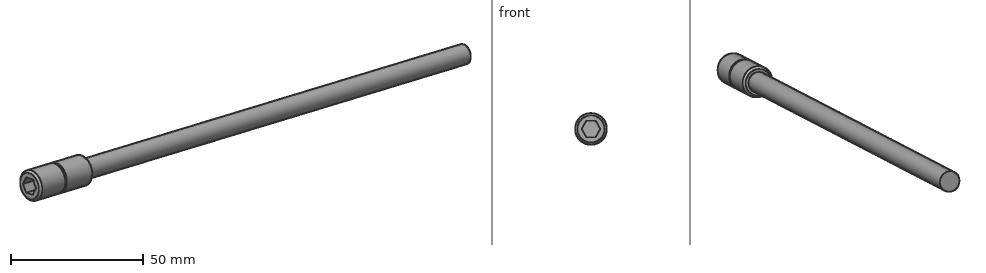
import cadquery as cq
import math

total_length = 228.0
head_diameter = 12.0
rod_diameter = 8.0
edge_chamfer = 1.0

socket_length = 13.0
collar_length = 15.0

hex_across_flats = 6.2

socket_front_y = -total_length / 2
collar_front_y = socket_front_y + socket_length
rod_start_y = collar_front_y + collar_length
rod_length = total_length - socket_length - collar_length


def plane_facing_rear(y):
    """Work plane across the axis at y, with its normal along +Y."""
    return cq.Plane(origin=(0, y, 0), xDir=(1, 0, 0), normal=(0, 1, 0))


def cylinder_along_y(diameter, start_y, length):
    """Solid cylinder running from start_y toward +Y."""
    return cq.Workplane(plane_facing_rear(start_y)).circle(diameter / 2).extrude(length)


def make_socket():
    """Ring with a chamfered front rim and a hexagonal hole, flats at top and bottom."""
    across_corners = hex_across_flats / math.cos(math.pi / 6)
    hex_hole = (
        cq.Workplane(plane_facing_rear(socket_front_y))
        .polygon(6, across_corners)
        .extrude(socket_length)
    )
    body = cylinder_along_y(head_diameter, socket_front_y, socket_length)
    return body.faces("<Y").chamfer(edge_chamfer).cut(hex_hole)


def make_collared_rod():
    """Rod with a collar at its front; both collar rims are chamfered.

    The front chamfer leaves a groove against the flat rear face of the socket.
    """
    collar = cylinder_along_y(head_diameter, collar_front_y, collar_length)
    collar = collar.faces("<Y or >Y").chamfer(edge_chamfer)
    rod = cylinder_along_y(rod_diameter, rod_start_y, rod_length)
    return collar.union(rod)


socket = make_socket()
collared_rod = make_collared_rod()

result = cq.Compound.makeCompound([socket.val(), collared_rod.val()])